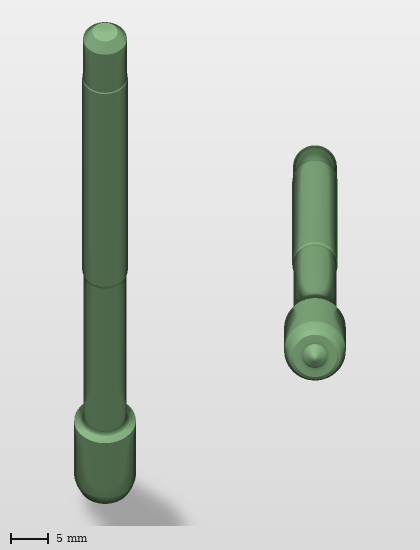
import cadquery as cq

total_length = 91.55

head_diameter = 8.12
tip_diameter = 3.3
tip_height = 1.6
base_diameter = 5.8
shoulder_diameter = 6.8
shoulder_height = 0.45
nose_height = 1.9
nose_bulge = 0.08
head_wall_length = 10.85
rim_diameter = 6.7
rim_height = 0.35

stem_diameter = 5.7
fillet_height = 0.65
joint_z = 44.05

barrel_diameter = 6.0
barrel_taper = 0.5
barrel_length = 38.6
neck_diameter = 5.76
neck_step = 0.12
flat_diameter = 3.3
end_chamfer_height = 1.25

head_radius = head_diameter / 2
tip_radius = tip_diameter / 2
base_radius = base_diameter / 2
shoulder_radius = shoulder_diameter / 2
rim_radius = rim_diameter / 2
stem_radius = stem_diameter / 2
barrel_radius = barrel_diameter / 2
neck_radius = neck_diameter / 2
flat_radius = flat_diameter / 2

shoulder_z = tip_height + shoulder_height
wall_bottom_z = shoulder_z + nose_height
wall_top_z = wall_bottom_z + head_wall_length
rim_z = wall_top_z + rim_height
barrel_top_z = joint_z + barrel_length
chamfer_z = total_length - end_chamfer_height

nose_mid = (
    (shoulder_radius + head_radius) / 2 + nose_bulge,
    (shoulder_z + wall_bottom_z) / 2,
)

fillet_hollow = 1 - 0.5**0.5
fillet_mid = (
    stem_radius + (rim_radius - stem_radius) * fillet_hollow,
    rim_z + fillet_height * fillet_hollow,
)


def turn(profile):
    """Revolve a closed half section about the Z axis."""
    return profile.close().revolve(360, (0, 0, 0), (0, 1, 0))


plunger = turn(
    cq.Workplane("XZ")
    .moveTo(0, 0)
    .lineTo(tip_radius, tip_height)
    .lineTo(base_radius, tip_height)
    .lineTo(shoulder_radius, shoulder_z)
    .threePointArc(nose_mid, (head_radius, wall_bottom_z))
    .lineTo(head_radius, wall_top_z)
    .lineTo(rim_radius, rim_z)
    .threePointArc(fillet_mid, (stem_radius, rim_z + fillet_height))
    .lineTo(stem_radius, joint_z)
    .lineTo(0, joint_z)
)

barrel = turn(
    cq.Workplane("XZ")
    .moveTo(0, joint_z)
    .lineTo(stem_radius, joint_z)
    .lineTo(barrel_radius, joint_z + barrel_taper)
    .lineTo(barrel_radius, barrel_top_z)
    .lineTo(neck_radius, barrel_top_z + neck_step)
    .lineTo(neck_radius, chamfer_z)
    .lineTo(flat_radius, total_length)
    .lineTo(0, total_length)
)

result = cq.Compound.makeCompound([plunger.val(), barrel.val()])